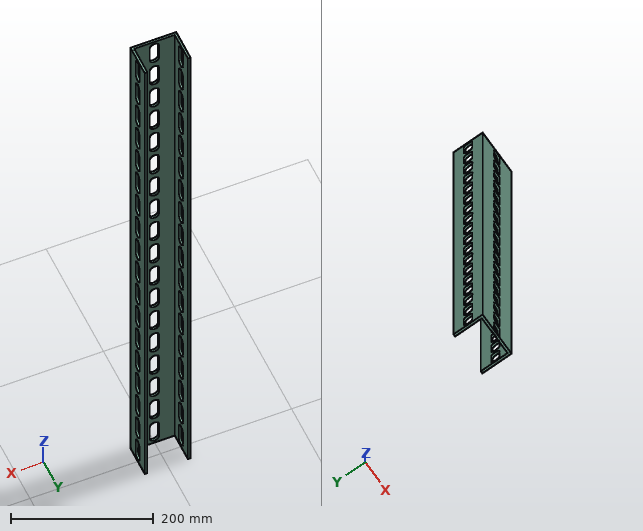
import cadquery as cq

width = 70.0
depth = 50.0
length = 900.0
thickness = 4.0

slot_pitch = 50.0
slot_length = 40.0
slot_width = 14.0
slot_count = round(length / slot_pitch)
slot_angle = 90.0


def make_channel():
    """U-section with its web at -Y and its flanges pointing to +Y."""
    outer = cq.Workplane("XY").rect(width, depth).extrude(length)
    cavity = (
        cq.Workplane("XY")
        .center(0, thickness)
        .rect(width - 2 * thickness, depth)
        .extrude(length)
    )
    return outer.cut(cavity)


def slot_row(plane, reach):
    """Row of slot cutters along Z, reaching the given distance to both sides of the plane."""
    centres = [(0, (index + 0.5) * slot_pitch) for index in range(slot_count)]
    return (
        cq.Workplane(plane)
        .pushPoints(centres)
        .slot2D(slot_length, slot_width, slot_angle)
        .extrude(reach, both=True)
    )


web_slots = slot_row("XZ", depth)
flange_slots = slot_row("YZ", width)

result = make_channel().cut(web_slots).cut(flange_slots)